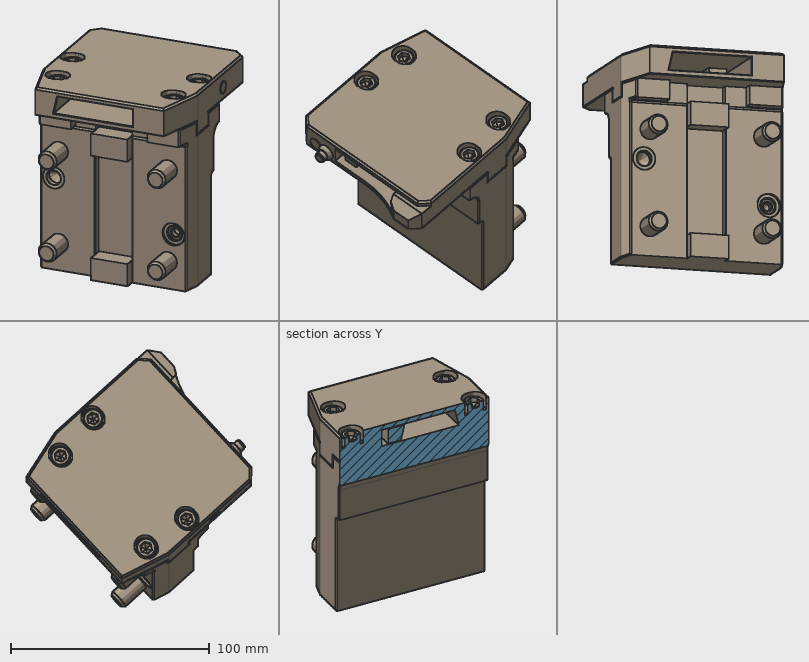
import cadquery as cq
import math

total_height = 105.0
half_width = 42.5
nose_half_width = 35.5
taper_start = 25.9
plate_depth = 86.9
plate_thickness = 15.0
plate_bottom = total_height - plate_thickness
plate_edge_chamfer = 1.0
plate_lower_chamfer = 0.4
corner_chamfer = 4.9

hook_back = 94.0
hook_top = 102.0
hook_flat_end = -27.8
hook_curve_radius = 50.0

column_back_top = 52.8
column_back_middle = 46.4
column_back_bottom = 43.4
large_cove_end = 73.0
small_cove_top = 55.2
small_cove_radius = 1.7
column_edge_chamfer = 0.6
face_y = 17.3
block_y = 12.0
block_bottom = 80.2
block_inner_x = 21.1
block_pocket_depth = 0.5
face_bevel_top = 79.7
face_bevel_height = 1.2
block_pocket_y = face_y + block_pocket_depth

tongue_front = 25.6
tongue_back = 39.4
tongue_bottom = 83.2

channel_half_width = 10.1
channel_floor = 21.9
channel_edge_chamfer = 0.4
key_height = 12.1
upper_key_bottom = 67.7

pin_x = 30.0
pin_heights = (15.0, 65.0)
pin_diameter = 10.0
pin_tip = 1.7
pin_chamfer_length = 1.5
pin_chamfer_radial = 1.0

screw_positions = ((35.0, 45.0), (31.9, 20.1))
screw_pocket_length = 12.6
screw_pocket_width = 10.9
screw_pocket_depth = 7.4
screw_head_diameter = 10.0
screw_head_recess = 1.7
screw_head_chamfer = 0.5
hex_width = 5.5
hex_depth = 2.6
hex_tip_depth = 1.6
hex_tip_angle = 58.0

slot_bottom = 92.7
slot_top = hook_top
slot_left_bottom = -25.3
slot_left_top = -23.2
slot_right = 18.2
slot_edge_chamfer = 0.37
gib_left_bottom = 7.4
gib_left_top = 5.2
gib_right = 14.8
gib_clearance = 0.2
gib_length = 52.5
clamp_y = 56.9
clamp_z = 96.9
clamp_rod_diameter = 3.6
clamp_head_diameter = 6.5
clamp_head_rise = 0.5

nozzle_x = 24.0
nozzle_z = 95.0
nozzle_base_radius = 4.3
nozzle_shoulder_radius = 3.0
nozzle_neck_radius = 2.7
nozzle_tip_radius = 2.4
nozzle_shoulder_rise = 2.5
nozzle_neck_rise = 5.0
nozzle_rise = 5.8
disc_x = 31.3
disc_diameter = 7.5
disc_rise = 0.3

port_x = 33.0
ring_z = 50.0
ring_outer_diameter = 12.1
ring_inner_diameter = 7.8
ring_rise = 0.5
ring_hole_depth = 3.2
port_z = 30.0
port_recess_diameter = 12.1
port_recess_depth = 1.6
port_bore_diameter = 8.5
port_bore_depth = 2.6
port_hole_diameter = 5.2
port_hole_depth = 6.3
port_edge_chamfer = 0.4

joint_overlap = 1.0


def box(x_range, y_range, z_range):
    size = [high - low for low, high in (x_range, y_range, z_range)]
    corner = (x_range[0], y_range[0], z_range[0])
    return cq.Workplane("XY").box(*size, centered=False).translate(corner)


def y_cylinder(x, z, diameter, y_start, y_end):
    """Cylinder along Y between two Y positions."""
    start = cq.Workplane("XZ", origin=(x, y_start, z))
    return start.circle(diameter / 2).extrude(y_start - y_end)


def x_cylinder(diameter, x_start, x_end):
    """Cylinder along X on the axis of the clamp screw."""
    start = cq.Workplane("YZ", origin=(x_start, clamp_y, clamp_z))
    return start.circle(diameter / 2).extrude(x_end - x_start)


def y_revolve(x, z, points):
    """Solid of revolution about a Y axis; points are (radius, y)."""
    profile = cq.Workplane("XY").polyline(points).close()
    return profile.revolve(360, (0, 0), (0, 1)).translate((x, 0, z))


def side_half_width(y):
    """Half width of the tapered outline at a given Y."""
    slope = (half_width - nose_half_width) / taper_start
    return half_width - slope * max(0, taper_start - y)


def tapered_outline():
    rear_x = half_width - corner_chamfer
    side_end = plate_depth - corner_chamfer
    right = [(nose_half_width, 0), (half_width, taper_start), (half_width, side_end), (rear_x, plate_depth)]
    left = [(-x, y) for x, y in reversed(right)]
    return cq.Workplane("XY").polyline(right + left).close()


def make_plate():
    upper = tapered_outline().extrude(plate_thickness)
    upper = upper.faces(">Z").edges().chamfer(plate_edge_chamfer)

    rise = hook_back - plate_depth
    curve_run = math.sqrt(rise * (2 * hook_curve_radius - rise))
    half_angle = math.asin(curve_run / hook_curve_radius) / 2
    curve_end = hook_flat_end + curve_run
    curve_middle = (
        curve_end - hook_curve_radius * math.sin(half_angle),
        plate_depth + hook_curve_radius * (1 - math.cos(half_angle)),
    )
    lower = (
        cq.Workplane("XY")
        .moveTo(-nose_half_width, 0)
        .lineTo(nose_half_width, 0)
        .lineTo(half_width, taper_start)
        .lineTo(half_width, plate_depth - corner_chamfer)
        .lineTo(half_width - corner_chamfer, plate_depth)
        .lineTo(curve_end, plate_depth)
        .threePointArc(curve_middle, (hook_flat_end, hook_back))
        .lineTo(-half_width + corner_chamfer, hook_back)
        .lineTo(-half_width, hook_back - corner_chamfer)
        .lineTo(-half_width, taper_start)
        .close()
        .extrude(hook_top - plate_bottom)
    )
    lower = lower.faces("<Z").edges("not(#X and #Y)").chamfer(plate_lower_chamfer)
    upper = upper.intersect(
        box((-half_width, half_width), (0, plate_depth), (hook_top - plate_bottom, plate_thickness))
    )
    plate = lower.union(upper).translate((0, 0, plate_bottom))

    bevel = (
        cq.Workplane("YZ", origin=(-half_width, 0, 0))
        .moveTo(hook_back - corner_chamfer, hook_top)
        .lineTo(hook_back, hook_top)
        .lineTo(hook_back, hook_top - corner_chamfer)
        .close()
        .extrude(2 * half_width)
    )
    tongue = box(
        (-half_width, half_width), (tongue_front, tongue_back), (tongue_bottom, plate_bottom + joint_overlap)
    )
    tongue = tongue.intersect(tapered_outline().extrude(total_height))
    return plate.cut(bevel).union(tongue)


def right_trapezoid(y, bottom_left, top_left, right, bottom, top):
    """Outline in an XZ plane with a slanted left side and a vertical right side."""
    points = [(bottom_left, bottom), (right, bottom), (right, top), (top_left, top)]
    return cq.Workplane("XZ", origin=(0, y, 0)).polyline(points).close()


def make_slot():
    """Dovetail slot running through the plate in Y, chamfered at its front mouth."""
    outline = (0, slot_left_bottom, slot_left_top, slot_right, slot_bottom, slot_top)
    slot = right_trapezoid(*outline).extrude(-hook_back)
    mouth = right_trapezoid(*outline).offset2D(slot_edge_chamfer, "intersection")
    return slot.union(mouth.extrude(-slot_edge_chamfer, taper=45))


def make_gib():
    """Loose-fitting gib in the slot, joined to the plate by its clamp screw."""
    gib_bottom = slot_bottom + gib_clearance
    gib_top = slot_top - gib_clearance
    gib_front = clamp_y - gib_length / 2
    gib = right_trapezoid(gib_front, gib_left_bottom, gib_left_top, gib_right, gib_bottom, gib_top)
    gib = gib.extrude(-gib_length)
    rod = x_cylinder(clamp_rod_diameter, gib_right - joint_overlap, slot_right + joint_overlap)
    head = x_cylinder(clamp_head_diameter, half_width - joint_overlap, half_width + clamp_head_rise)
    return gib.union(rod).union(head)


def make_screw_pocket(x, y):
    """Elongated pocket that leaves a socket screw head standing inside."""
    top = cq.Workplane("XY", origin=(x, y, total_height))
    pocket = top.slot2D(screw_pocket_length, screw_pocket_width).extrude(-screw_pocket_depth)
    head_height = screw_pocket_depth - screw_head_recess
    head = (
        cq.Workplane("XY", origin=(x, y, total_height - screw_pocket_depth))
        .circle(screw_head_diameter / 2)
        .extrude(head_height)
        .faces(">Z")
        .chamfer(screw_head_chamfer)
    )
    hex_corners = hex_width / math.cos(math.pi / 6)
    socket_top = (
        cq.Workplane("XY", origin=(x, y, total_height - screw_head_recess))
        .transformed(rotate=(0, 0, 90))
    )
    socket = socket_top.polygon(6, hex_corners).extrude(-hex_depth)
    pointed_end = (
        socket_top.workplane(offset=-hex_depth)
        .polygon(6, hex_corners)
        .extrude(-hex_tip_depth, taper=hex_tip_angle)
    )
    socket = socket.union(pointed_end)
    return pocket.cut(head.cut(socket))


def make_nozzle():
    """Nozzle with a rounded base, a neck and a slightly thinner tip."""
    shoulder_y = plate_depth + nozzle_shoulder_rise
    neck_y = plate_depth + nozzle_neck_rise
    tip_y = plate_depth + nozzle_rise
    bulge = (nozzle_base_radius - nozzle_shoulder_radius) * math.sin(math.pi / 4)
    base_middle = (nozzle_shoulder_radius + bulge, plate_depth + nozzle_shoulder_rise * math.sin(math.pi / 4))
    profile = (
        cq.Workplane("XY")
        .moveTo(0, plate_depth - joint_overlap)
        .lineTo(nozzle_base_radius, plate_depth - joint_overlap)
        .lineTo(nozzle_base_radius, plate_depth)
        .threePointArc(base_middle, (nozzle_shoulder_radius, shoulder_y))
        .lineTo(nozzle_neck_radius, shoulder_y)
        .lineTo(nozzle_neck_radius, neck_y)
        .lineTo(nozzle_tip_radius, neck_y)
        .lineTo(nozzle_tip_radius, tip_y)
        .lineTo(0, tip_y)
        .close()
    )
    return profile.revolve(360, (0, 0), (0, 1)).translate((nozzle_x, 0, nozzle_z))


def make_column():
    cove_sine = math.sin(math.pi / 4)
    cove_radius = column_back_top - column_back_middle
    large_cove_middle = (
        column_back_top - cove_radius * cove_sine,
        large_cove_end + cove_radius * cove_sine,
    )
    small_cove_middle = (
        column_back_bottom + small_cove_radius * (1 - cove_sine),
        small_cove_top - small_cove_radius * (1 - cove_sine),
    )
    column = (
        cq.Workplane("YZ", origin=(-half_width, 0, 0))
        .moveTo(face_y, 0)
        .lineTo(column_back_bottom, 0)
        .lineTo(column_back_bottom, small_cove_top - small_cove_radius)
        .threePointArc(small_cove_middle, (column_back_bottom + small_cove_radius, small_cove_top))
        .lineTo(column_back_middle, small_cove_top)
        .lineTo(column_back_middle, large_cove_end)
        .threePointArc(large_cove_middle, (column_back_top, large_cove_end + cove_radius))
        .lineTo(column_back_top, plate_bottom)
        .lineTo(tongue_back, plate_bottom)
        .lineTo(tongue_back, tongue_bottom)
        .lineTo(tongue_front, tongue_bottom)
        .lineTo(tongue_front, plate_bottom)
        .lineTo(block_y, plate_bottom)
        .lineTo(block_y, block_bottom)
        .lineTo(block_pocket_y, block_bottom)
        .lineTo(block_pocket_y, face_bevel_top)
        .lineTo(face_y, face_bevel_top - face_bevel_height)
        .close()
        .extrude(2 * half_width)
    )
    front_x = side_half_width(block_y)
    plan = cq.Workplane("XY").polyline([
        (-front_x, block_y),
        (front_x, block_y),
        (half_width, taper_start),
        (half_width, column_back_top),
        (-half_width, column_back_top),
        (-half_width, taper_start),
    ]).close().extrude(plate_bottom)
    column = column.intersect(plan)

    def on_side_outline(edge):
        ends = [edge.startPoint(), edge.endPoint()]
        on_side = all(abs(abs(p.x) - side_half_width(p.y)) < 0.01 and p.x * ends[0].x > 0 for p in ends)
        at_taper = all(abs(p.y - taper_start) < 0.01 for p in ends)
        at_top_back = all(abs(p.y - column_back_top) < 0.01 for p in ends)
        return on_side and not at_taper and not at_top_back

    column = column.newObject(column.edges().filter(on_side_outline).vals()).chamfer(column_edge_chamfer)

    block_gap = box((-block_inner_x, block_inner_x), (block_y, block_pocket_y), (block_bottom, plate_bottom))
    channel_x = (-channel_half_width, channel_half_width)
    channel_edge_x = channel_half_width + channel_edge_chamfer
    channel = cq.Workplane("XY").polyline([
        (-channel_edge_x, face_y),
        (channel_edge_x, face_y),
        (channel_half_width, face_y + channel_edge_chamfer),
        (channel_half_width, channel_floor),
        (-channel_half_width, channel_floor),
        (-channel_half_width, face_y + channel_edge_chamfer),
    ]).close().extrude(plate_bottom)
    column = column.cut(block_gap).cut(channel)
    for key_bottom in (0, upper_key_bottom):
        key = box(
            channel_x, (block_y, channel_floor + joint_overlap), (key_bottom, key_bottom + key_height)
        )
        column = column.union(key)
    return column


def make_pin(x, z):
    radius = pin_diameter / 2
    return y_revolve(x, z, [
        (0, pin_tip),
        (radius - pin_chamfer_radial, pin_tip),
        (radius, pin_tip + pin_chamfer_length),
        (radius, face_y + joint_overlap),
        (0, face_y + joint_overlap),
    ])


def add_sealing_ring(body):
    """Round ring standing slightly proud around a blind hole with a conical end."""
    hole_radius = ring_inner_diameter / 2
    hole_bottom = face_y + ring_hole_depth
    hole = y_revolve(-port_x, ring_z, [
        (0, face_y),
        (hole_radius, face_y),
        (hole_radius, hole_bottom),
        (0, hole_bottom + hole_radius),
    ])
    tube_radius = (ring_outer_diameter - ring_inner_diameter) / 4
    ring_center_y = face_y - ring_rise + tube_radius
    ring = (
        cq.Workplane("XY")
        .center(hole_radius + tube_radius, ring_center_y)
        .circle(tube_radius)
        .revolve(360, (-hole_radius - tube_radius, 0), (-hole_radius - tube_radius, 1))
        .translate((-port_x, 0, ring_z))
    )
    return body.cut(hole).union(ring)


def make_port():
    """Stepped recess with chamfered edges and a blind hole that ends in a cone."""
    recess_radius = port_recess_diameter / 2
    bore_radius = port_bore_diameter / 2
    hole_radius = port_hole_diameter / 2
    recess_y = face_y + port_recess_depth
    bore_y = face_y + port_bore_depth
    hole_y = face_y + port_hole_depth
    return y_revolve(port_x, port_z, [
        (0, face_y),
        (recess_radius, face_y),
        (recess_radius, recess_y),
        (bore_radius, recess_y),
        (bore_radius - port_edge_chamfer, recess_y + port_edge_chamfer),
        (bore_radius - port_edge_chamfer, bore_y),
        (hole_radius, bore_y),
        (hole_radius - port_edge_chamfer, bore_y + port_edge_chamfer),
        (hole_radius - port_edge_chamfer, hole_y),
        (0, hole_y + hole_radius),
    ])


plate = make_plate().cut(make_slot()).union(make_gib())
for screw_x, screw_y in screw_positions:
    for side in (-1, 1):
        plate = plate.cut(make_screw_pocket(side * screw_x, screw_y))
plate = plate.union(make_nozzle())
disc = y_cylinder(disc_x, nozzle_z, disc_diameter, plate_depth - joint_overlap, plate_depth + disc_rise)
plate = plate.union(disc)

column = add_sealing_ring(make_column()).cut(make_port())
for pin_z in pin_heights:
    for side in (-1, 1):
        column = column.union(make_pin(side * pin_x, pin_z))

result = plate.union(column)